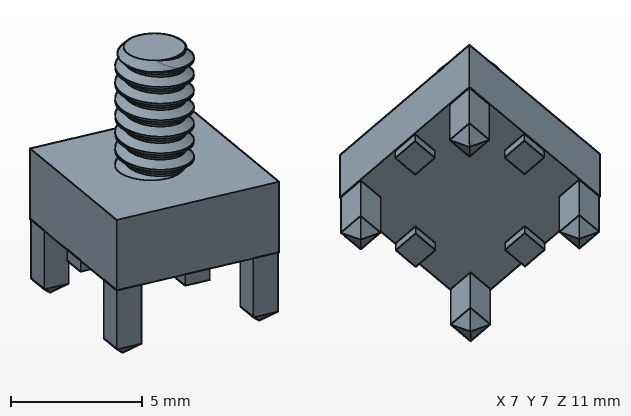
import cadquery as cq
import math

height = 11.0
body_width = 7.0
body_bottom = 3.0
body_top = 6.0

leg_width = 1.07
leg_offset = 2.94
tip_height = 0.5
stub_length = 0.5

stud_diameter = 3.0
stud_radius = stud_diameter / 2
stud_length = height - body_top
ten_turn_rise = 7.0
pitch = ten_turn_rise / 10
thread_depth = 0.33
end_chamfer = thread_depth
crest_width = pitch / 8
root_width = pitch / 8
root_radius = stud_radius - thread_depth
first_crest_height = 0.45
turns_below = 2
ridge_start = first_crest_height - turns_below * pitch
turns = math.ceil(stud_length / pitch) + turns_below + 1
envelope_clearance = 0.05


def make_body():
    return (
        cq.Workplane("XY", origin=(0, 0, body_bottom))
        .rect(body_width, body_width)
        .extrude(body_top - body_bottom)
    )


def make_leg(x, y):
    half = leg_width / 2
    shank = (
        cq.Workplane("XY", origin=(x, y, tip_height))
        .rect(leg_width, leg_width)
        .extrude(body_bottom - tip_height)
    )
    outline = [(-half, 0), (half, 0), (0, -tip_height)]
    prism = cq.Workplane("XZ").polyline(outline).close().extrude(half, both=True)
    crossed_prism = prism.rotate((0, 0, 0), (0, 0, 1), 90)
    tip = prism.intersect(crossed_prism).translate((x, y, tip_height))
    return shank.union(tip)


def make_stub(x, y):
    return (
        cq.Workplane("XY", origin=(x, y, body_bottom))
        .rect(leg_width, leg_width)
        .extrude(-stub_length)
    )


def helical_solid(profile):
    """Wind a closed (radius, height) profile along the thread, with ruled sides and flat ends."""
    rails = [
        cq.Wire.makeHelix(
            pitch, turns * pitch, radius, center=cq.Vector(0, 0, ridge_start + z), lefthand=True
        )
        for radius, z in profile
    ]
    faces = []
    for rail, next_rail in zip(rails, rails[1:] + rails[:1]):
        faces.extend(cq.Face.makeRuledSurface(rail, next_rail).Faces())
    for end in (0, 1):
        corners = [rail.positionAt(end) for rail in rails]
        faces.append(cq.Face.makeFromWires(cq.Wire.makePolygon(corners, close=True)))
    return cq.Workplane(cq.Solid.makeSolid(cq.Shell.makeShell(faces)))


def make_stud():
    base_half = (pitch - root_width) / 2
    crest_half = crest_width / 2
    ridge = helical_solid([
        (root_radius, -base_half),
        (stud_radius, -crest_half),
        (stud_radius, crest_half),
        (root_radius, base_half),
    ])
    envelope = (
        cq.Workplane("XY")
        .circle(stud_radius + envelope_clearance)
        .extrude(stud_length)
        .faces(">Z")
        .chamfer(end_chamfer + envelope_clearance)
    )
    core = cq.Workplane("XY").circle(root_radius).extrude(stud_length)
    stud = core.union(ridge.intersect(envelope))
    return stud.translate((0, 0, body_top))


result = make_body().union(make_stud())
for x_side in (-1, 1):
    for y_side in (-1, 1):
        result = result.union(make_leg(x_side * leg_offset, y_side * leg_offset))
for side in (-1, 1):
    result = result.union(make_stub(side * leg_offset, 0))
    result = result.union(make_stub(0, side * leg_offset))